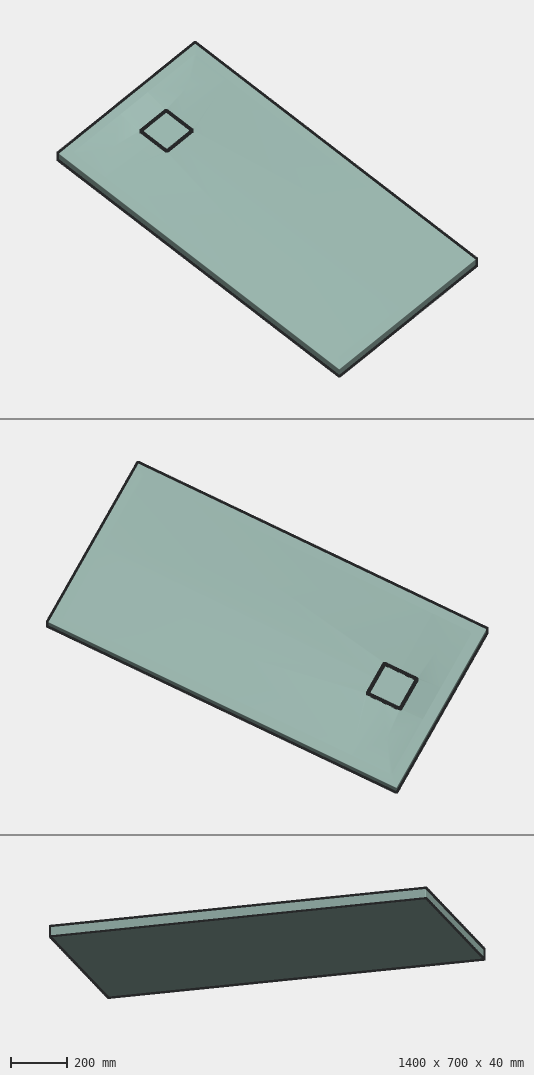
import cadquery as cq
import math

length = 1400.0
width = 700.0
height = 39.98
edge_radius = 1.5

rim_width = 40.0
rim_slope_deg = 1.0
floor_corner_radius = 8.0

drain_x = -500.0
drain_z = 25.0
opening_side = 143.8
opening_radius = 10.0

recess_side = 135.0
recess_depth = 8.0
recess_radius = opening_radius - (opening_side - recess_side) / 2

cover_side = 126.0
cover_radius = 8.0
cover_thickness = recess_depth

rim_x = length / 2 - edge_radius
rim_y = width / 2 - edge_radius
floor_x = length / 2 - rim_width
floor_y = width / 2 - rim_width
floor_edge_z = height - (rim_width - edge_radius) * math.tan(math.radians(rim_slope_deg))
recess_z = drain_z - recess_depth
opening_half = opening_side / 2
opening_corner_offset = opening_half - opening_radius
ramp_half_width = opening_half - opening_radius * (1 - math.sqrt(0.5))


def edges_through(points):
    """Straight edges from each point to the next."""
    edges = []
    for start, end in zip(points, points[1:]):
        edges.append(cq.Edge.makeLine(cq.Vector(*start), cq.Vector(*end)))
    return edges


def smooth_face(edges):
    """One smooth face spanning a closed loop of edges that need not lie in a plane."""
    return cq.Face.makeNSidedSurface(edges, [], degree=2, nbPtsOnCur=15, maxDeg=3, maxSegments=4)


def arc_at(center_x, center_y, z, radius, start_deg, end_deg):
    """Level arc between two angles, measured from +X towards +Y."""
    points = []
    for angle_deg in (start_deg, (start_deg + end_deg) / 2, end_deg):
        angle = math.radians(angle_deg)
        x = center_x + radius * math.cos(angle)
        y = center_y + radius * math.sin(angle)
        points.append(cq.Vector(x, y, z))
    return cq.Edge.makeThreePointArc(*points)


def floor_corner(end):
    """Rounded floor corner at the given end (+1 or -1) of the +Y half."""
    center_x = end * (floor_x - floor_corner_radius)
    center_y = floor_y - floor_corner_radius
    side_deg = 0 if end > 0 else 180
    return arc_at(center_x, center_y, floor_edge_z, floor_corner_radius, side_deg, 90)


def opening_corner(end, start_deg, end_deg):
    """Part of the opening's rounded corner at the given end of its +Y half."""
    center_x = drain_x + end * opening_corner_offset
    return arc_at(center_x, opening_corner_offset, drain_z, opening_radius, start_deg, end_deg)


def path_between(start_arc, points, end_arc):
    """Straight edges from the end of one arc through the points to the start of another."""
    start = start_arc.endPoint().toTuple()
    end = end_arc.startPoint().toTuple()
    return edges_through([start] + points + [end])


def rim_face(end):
    """Rim quarter at one end of the +Y half."""
    corner = floor_corner(end)
    points = [
        (drain_x, floor_y, floor_edge_z),
        (drain_x, rim_y, height),
        (end * rim_x, rim_y, height),
        (end * rim_x, 0, height),
        (end * floor_x, 0, floor_edge_z),
    ]
    if end < 0:
        points.append((-floor_x, ramp_half_width, floor_edge_z))
    return smooth_face([corner] + path_between(corner, points, corner))


def long_floor_face():
    """+Y floor quarter from the drain to the far +X end."""
    outer = floor_corner(1)
    inner = opening_corner(1, 90, 0)
    along_seam = [(drain_x, floor_y, floor_edge_z), (drain_x, opening_half, drain_z)]
    along_middle = [(drain_x + opening_half, 0, drain_z), (floor_x, 0, floor_edge_z)]
    inward = path_between(outer, along_seam, inner)
    outward = path_between(inner, along_middle, outer)
    return smooth_face([outer, *inward, inner, *outward])


def short_floor_face():
    """+Y floor quarter between the drain and the near -X end, beside the ramp."""
    outer = floor_corner(-1)
    inner = opening_corner(-1, 90, 135)
    along_seam = [(drain_x, floor_y, floor_edge_z), (drain_x, opening_half, drain_z)]
    along_ramp = [(-floor_x, ramp_half_width, floor_edge_z)]
    inward = path_between(outer, along_seam, inner)
    outward = path_between(inner, along_ramp, outer)
    return smooth_face([outer, *inward, inner, *outward])


def ramp_face():
    """Ramp from the -X rim to the +Y half of the opening."""
    inner = opening_corner(-1, 135, 180)
    points = [
        (drain_x - opening_half, 0, drain_z),
        (-floor_x, 0, floor_edge_z),
        (-floor_x, ramp_half_width, floor_edge_z),
    ]
    return smooth_face([inner] + path_between(inner, points, inner))


def outer_faces():
    """Underside and sides of the tray with its rounded edges, open at the top."""
    block = (
        cq.Workplane("XY")
        .box(length, width, height, centered=(True, True, False))
        .edges("|Z or >Z")
        .fillet(edge_radius)
    )
    return block.faces("not >Z").vals()


def rounded_plate(side, radius, bottom_z, thickness):
    """Square plate with rounded corners, centred on the drain."""
    return (
        cq.Workplane("XY", origin=(drain_x, 0, bottom_z))
        .rect(side, side)
        .extrude(thickness)
        .edges("|Z")
        .fillet(radius)
    )


def recess_faces():
    """Level lip around the recess with the recess walls and bottom."""
    opening = rounded_plate(opening_side, opening_radius, recess_z, recess_depth)
    recess = rounded_plate(recess_side, recess_radius, recess_z, recess_depth)
    lip = opening.cut(recess).faces(">Z")
    return lip.vals() + recess.faces("not >Z").vals()


def make_tray():
    """Solid sewn from its outer faces, its sloping top faces and the recess."""
    half_top = [rim_face(1), rim_face(-1), long_floor_face(), short_floor_face(), ramp_face()]
    mirrored_half_top = [face.mirror("XZ") for face in half_top]
    shell = cq.Shell.makeShell(outer_faces() + half_top + mirrored_half_top + recess_faces())
    return cq.Workplane(obj=cq.Solid.makeSolid(shell))


def make_cover():
    return rounded_plate(cover_side, cover_radius, recess_z, cover_thickness)


tray = make_tray()
cover = make_cover()

result = cq.Compound.makeCompound([tray.val(), cover.val()])